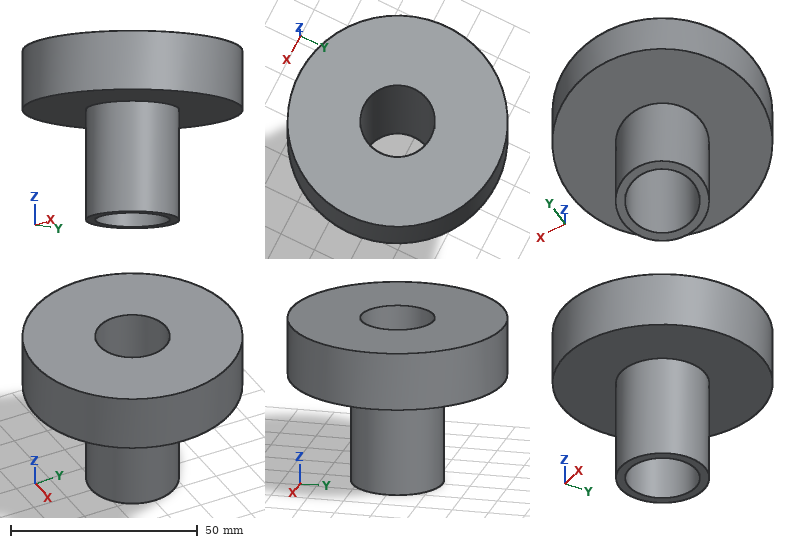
import cadquery as cq

flange_diameter = 59.0
flange_thickness = 16.0
stem_diameter = 25.0
bore_diameter = 20.0
total_height = 46.0

stem_length = total_height - flange_thickness

stem = cq.Workplane("XY").circle(stem_diameter / 2).extrude(stem_length)

flange = (
    cq.Workplane("XY")
    .workplane(offset=stem_length)
    .circle(flange_diameter / 2)
    .extrude(flange_thickness)
)

bore = cq.Workplane("XY").circle(bore_diameter / 2).extrude(total_height)

result = stem.union(flange).cut(bore)